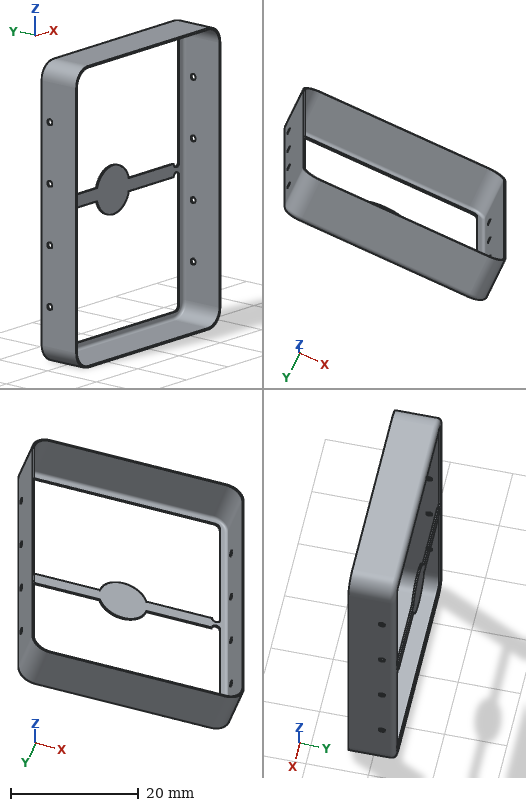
import cadquery as cq

width = 35.0
depth = 7.5
height = 49.0
wall = 0.3
corner_radius = 3.0
back_edge_radius = 0.8
back_y = depth / 2

flange = 1.45
window_corner_radius = 1.0
window_width = width - 2 * flange

bar_height = 2.15
disc_diameter = 8.0
neck_width = 0.85
notch_radius = (bar_height - neck_width) / 2

hole_count = 4
hole_pitch = 10.0
hole_diameter = 1.0
hole_from_back = 2.1


def rounded_block(inset, front_y, rear_y, radius):
    """Block spanning front_y to rear_y, inset from the outer outline."""
    return (
        cq.Workplane("XZ", origin=(0, rear_y, 0))
        .rect(width - 2 * inset, height - 2 * inset)
        .extrude(rear_y - front_y)
        .edges("|Y")
        .fillet(radius)
    )


def floor_plate(sketch):
    """Extrude a closed XZ profile through the floor thickness."""
    return sketch.extrude(wall)


def make_shell():
    outer = rounded_block(0, -back_y, back_y, corner_radius)
    outer = outer.faces(">Y").edges().fillet(back_edge_radius)
    cavity = rounded_block(wall, -back_y, back_y - wall, corner_radius - wall)
    cavity = cavity.faces(">Y").edges().fillet(back_edge_radius - wall)
    window = rounded_block(flange, -back_y, back_y, window_corner_radius)
    return outer.cut(cavity).cut(window)


def make_crossbar():
    floor = cq.Workplane("XZ", origin=(0, back_y, 0))
    bar = floor_plate(floor.rect(window_width + wall, bar_height))
    disc = floor_plate(floor.circle(disc_diameter / 2))
    notch_x = window_width / 2 - notch_radius
    notch_z = bar_height / 2
    notch_centers = [(x, z) for x in (-notch_x, notch_x) for z in (-notch_z, notch_z)]
    notches = floor_plate(floor.pushPoints(notch_centers).circle(notch_radius))
    return bar.cut(notches).union(disc)


def make_wall_holes():
    return (
        cq.Workplane("YZ", origin=(-width / 2, back_y - hole_from_back, 0))
        .rarray(0.5, hole_pitch, 1, hole_count)
        .circle(hole_diameter / 2)
        .extrude(width)
    )


result = make_shell().union(make_crossbar()).cut(make_wall_holes())